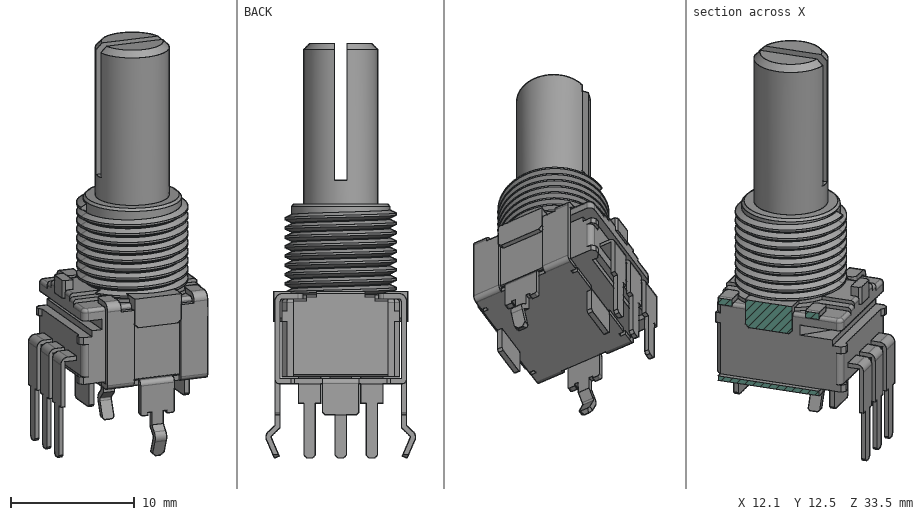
import cadquery as cq
import math


TOTAL_HEIGHT = 33.5
BUSHING_TOP = 20.55
SADDLE_TOP = 13.47
PAD_TOP = 13.3
RIDGE_TOP = SADDLE_TOP
SHELF_TOP = 13.15
CORNER_TOP = 12.85
COVER_BOTTOM = 11.9
BASE_TOP = 11.02
BASE_STEP = 10.52
BASE_BOTTOM = 6.55
FLOOR_TOP = 6.43
FRAME_BOTTOM = 6.0

SHAFT_DIA = 6.0
SHAFT_CHAMFER = 0.5
SLOT_WIDTH = 0.97
SLOT_DEPTH = 11.05
CORE_DIA = 7.97
CORE_CHAMFER = 0.2
THREAD_DIA = 9.0
THREAD_LENGTH = 6.77
THREAD_TURNS = 9
THREAD_PITCH = THREAD_LENGTH / THREAD_TURNS
THREAD_TOP = 19.9
THREAD_ROOT_WIDTH = 0.75
THREAD_CREST_WIDTH = 0.17
THREAD_OVERLAP = 0.07

BODY_HALF_WIDTH = 4.75
BODY_BACK = 4.65
BACK_PLATE_HALF_WIDTH = 3.82
BACK_PLATE_Y = 4.82
COVER_FRONT = -6.3
COVER_EDGE = 0.3
CORNER_RADIUS = 0.47
BACK_CHAMFER = 0.4
BACK_EDGE = 0.17
COLLAR_RADIUS = 4.8
BASE_STEP_FRONT = -5.5
BASE_FRONT = -6.3
LIP_BACK = -5.8
LIP_FRONT = -6.53
LIP_INNER_X = 3.75
LIP_HEIGHT = 0.6
LIP_CHAMFER = 0.3
RIDGE_HALF_WIDTH = 1.98
SHELF_HALF_WIDTH = 2.75
WINDOW_RADIUS = 5.2
WINDOW_HALF_ANGLE = 27
POST_OUTER_X = -2.8
POST_INNER_X = -2.48
POST_FRONT = -4.95
SLOPE_END_Y = -2.68
TAB_HALF_WIDTH = 0.97
TAB_BACK = -5.6
TAB_FRONT = -6.45
TAB_BOTTOM = 12.75
TAB_TOP = 14.27
TAB_CHAMFER = 0.2

FRAME_HALF_WIDTH = 5.33
FRAME_HALF_LENGTH = 4.4
SHEET = 0.45
BEND = 0.4
TOP_BEND = 0.67
RELIEF_INNER_X = 3.75
RELIEF_OUTER_X = 4.02
PANEL_HALF_WIDTH = 5.05
SADDLE_HALF_WIDTH = 5.43
SADDLE_HALF_LENGTH = 2.05
SADDLE_CHAMFER = 0.3
NOTCH_END_Y = 3.18
NOTCH_BOTTOM = 12.5
PAD_INNER_X = 3.05
PAD_CORNER = 0.4
LEG_HALF_WIDTH = 1.47
LEG_BOTTOM = 3.5
LEG_CORNER = 0.2
LEG_RELIEF_WIDTH = 0.35
LEG_RELIEF_HEIGHT = 0.25
SPRING_HALF_WIDTH = 0.5
SPRING_KNEE_Z = 2.55
SPRING_ELBOW_START = (5.65, 2.0)
SPRING_ELBOW = (5.83, 1.75)
SPRING_ELBOW_END = (5.75, 1.47)
SPRING_TIP = (5.15, 0.07)
SPRING_TIP_CHAMFER = 0.3

TERMINAL_SPACING = 2.5
TERMINAL_TOP = 8.6
TERMINAL_SHEET = 0.37
TERMINAL_BEND = 0.6
TERMINAL_FRONT = -7.67
TERMINAL_WIDTH = 1.8
MIDDLE_TERMINAL_WIDTH = 1.75
PIN_WIDTH = 0.95
SHOULDER_Z = 4.42
PIN_CHAMFER = 0.25


def block(x_min, x_max, y_min, y_max, z_min, z_max):
    """Axis-aligned box given by its limits."""
    size = (x_max - x_min, y_max - y_min, z_max - z_min)
    return cq.Workplane("XY").box(*size, centered=False).translate((x_min, y_min, z_min))


def wide_block(half_width, y_min, y_max, z_min, z_max):
    """Box centred on X = 0."""
    return block(-half_width, half_width, y_min, y_max, z_min, z_max)


def rod(radius, z_min, z_max):
    """Upright cylinder on the shaft axis."""
    return cq.Workplane("XY").workplane(offset=z_min).circle(radius).extrude(z_max - z_min)


def both_sides(solid):
    """The solid together with its mirror image across X = 0."""
    return solid.union(solid.mirror("YZ"))


def make_shaft():
    shaft = rod(SHAFT_DIA / 2, BASE_TOP, TOTAL_HEIGHT)
    shaft = shaft.faces(">Z").chamfer(SHAFT_CHAMFER)
    slot = wide_block(SLOT_WIDTH / 2, -SHAFT_DIA, SHAFT_DIA, TOTAL_HEIGHT - SLOT_DEPTH, TOTAL_HEIGHT)
    return shaft.cut(slot)


def make_bushing():
    """Plain core carrying a right-hand thread that ends at the front (-Y)."""
    core = rod(CORE_DIA / 2, COVER_BOTTOM, BUSHING_TOP)
    core = core.faces(">Z").chamfer(CORE_CHAMFER)
    root = CORE_DIA / 2 - THREAD_OVERLAP
    crest = THREAD_DIA / 2
    profile = [
        (root, -THREAD_ROOT_WIDTH / 2),
        (crest, -THREAD_CREST_WIDTH / 2),
        (crest, THREAD_CREST_WIDTH / 2),
        (root, THREAD_ROOT_WIDTH / 2),
    ]
    for turn in range(1, THREAD_TURNS + 1):
        helix = cq.Workplane(obj=cq.Wire.makeHelix(THREAD_PITCH, THREAD_PITCH, root))
        thread = cq.Workplane("XZ").polyline(profile).close().sweep(helix, isFrenet=True)
        thread = thread.rotate((0, 0, 0), (0, 0, 1), -90)
        core = core.union(thread.translate((0, 0, THREAD_TOP - turn * THREAD_PITCH)))
    return core


def make_cover():
    """Upper housing stepping down from a middle ridge to the corners, with a locating tab in front."""
    cover = wide_block(BODY_HALF_WIDTH, COVER_FRONT, BODY_BACK, COVER_BOTTOM, CORNER_TOP)
    cover = cover.edges("|Z and <Y").fillet(CORNER_RADIUS)
    cover = cover.edges("|Z and >Y").chamfer(BACK_CHAMFER)
    cover = cover.faces(">Z").edges().fillet(COVER_EDGE)
    for half_width, top in ((SHELF_HALF_WIDTH, SHELF_TOP), (RIDGE_HALF_WIDTH, RIDGE_TOP)):
        step = wide_block(half_width, COVER_FRONT, BACK_PLATE_Y, COVER_BOTTOM, top)
        step = step.edges("<Y and >Z").fillet(COVER_EDGE)
        step = step.edges(">Y and >Z").chamfer(BACK_EDGE)
        cover = cover.union(step)
    collar = rod(COLLAR_RADIUS, COVER_BOTTOM, SHELF_TOP)
    collar = collar.intersect(wide_block(BODY_HALF_WIDTH, -FRAME_HALF_LENGTH, FRAME_HALF_LENGTH,
                                         COVER_BOTTOM, SHELF_TOP))
    tab = wide_block(TAB_HALF_WIDTH, TAB_FRONT, TAB_BACK, TAB_BOTTOM, TAB_TOP)
    tab = tab.edges("|Z and <Y").chamfer(TAB_CHAMFER)
    return cover.union(collar).union(tab)


def make_window_core():
    """Inner wall in the gap between cover and base: a round front, a post and a sloping left flank."""
    half_angle = math.radians(WINDOW_HALF_ANGLE)
    arc_x = WINDOW_RADIUS * math.sin(half_angle)
    arc_y = -WINDOW_RADIUS * math.cos(half_angle)
    return (
        cq.Workplane("XY").workplane(offset=BASE_TOP)
        .moveTo(-arc_x, arc_y)
        .threePointArc((0, -WINDOW_RADIUS), (arc_x, arc_y))
        .lineTo(BODY_HALF_WIDTH, arc_y)
        .lineTo(BODY_HALF_WIDTH, BODY_BACK)
        .lineTo(-BODY_HALF_WIDTH, BODY_BACK)
        .lineTo(-BODY_HALF_WIDTH, SLOPE_END_Y)
        .lineTo(POST_OUTER_X, arc_y)
        .lineTo(POST_OUTER_X, POST_FRONT)
        .lineTo(POST_INNER_X, POST_FRONT)
        .lineTo(POST_INNER_X, arc_y)
        .close()
        .extrude(COVER_BOTTOM - BASE_TOP)
    )


def make_base():
    """Lower housing: stepped front top edge, rounded front corners with lips, and a back plate."""
    base = wide_block(BODY_HALF_WIDTH, BASE_FRONT, BODY_BACK, BASE_BOTTOM, BASE_TOP)
    base = base.edges("|Z and <Y").fillet(CORNER_RADIUS)
    base = base.edges("|Z and >Y").chamfer(BACK_CHAMFER)
    base = base.cut(wide_block(BODY_HALF_WIDTH, BASE_FRONT, BASE_STEP_FRONT, BASE_STEP, BASE_TOP))
    base = base.union(wide_block(BODY_HALF_WIDTH, BASE_STEP_FRONT, 0, BASE_STEP, BASE_TOP))
    base = base.cut(wide_block(LIP_INNER_X, BASE_FRONT, LIP_BACK, BASE_BOTTOM, BASE_BOTTOM + LIP_HEIGHT))
    for z_min in (BASE_BOTTOM, BASE_STEP - LIP_HEIGHT):
        lip = block(LIP_INNER_X, BODY_HALF_WIDTH, LIP_FRONT, LIP_BACK, z_min, z_min + LIP_HEIGHT)
        lip = lip.edges("|Z and <Y").chamfer(LIP_CHAMFER)
        base = base.union(both_sides(lip))
    back_plate = wide_block(BACK_PLATE_HALF_WIDTH, 0, BACK_PLATE_Y, BASE_BOTTOM, CORNER_TOP)
    back_plate = back_plate.edges(">Y and <Z").chamfer(TAB_CHAMFER)
    back_plate = back_plate.edges(">Y and >Z").chamfer(BACK_EDGE)
    return base.union(back_plate)


def make_frame():
    """Sheet metal frame wrapped round both sides and the underside of the housing."""
    inner_half_width = FRAME_HALF_WIDTH - SHEET
    frame = wide_block(FRAME_HALF_WIDTH, -FRAME_HALF_LENGTH, FRAME_HALF_LENGTH, FRAME_BOTTOM, PAD_TOP)
    frame = frame.edges("|Y and >Z").fillet(TOP_BEND)
    frame = frame.edges("|Y and <Z").fillet(BEND)
    interior = wide_block(inner_half_width, -FRAME_HALF_LENGTH, FRAME_HALF_LENGTH, FLOOR_TOP, PAD_TOP - SHEET)
    interior = interior.edges("|Y and >Z").fillet(TOP_BEND - SHEET)
    pad_gap_x = wide_block(PAD_INNER_X, -FRAME_HALF_LENGTH, FRAME_HALF_LENGTH, FLOOR_TOP, PAD_TOP)
    pad_gap_y = wide_block(FRAME_HALF_WIDTH, -NOTCH_END_Y, NOTCH_END_Y, NOTCH_BOTTOM, PAD_TOP)
    frame = frame.cut(interior).cut(pad_gap_x).cut(pad_gap_y)
    frame = frame.edges(cq.selectors.BoxSelector(
        (-PAD_INNER_X - PAD_CORNER, -BODY_BACK, PAD_TOP - SHEET),
        (PAD_INNER_X + PAD_CORNER, BODY_BACK, PAD_TOP))).edges("|Z").fillet(PAD_CORNER)

    panel_recess = block(PANEL_HALF_WIDTH, FRAME_HALF_WIDTH, -SADDLE_HALF_LENGTH, SADDLE_HALF_LENGTH,
                         FRAME_BOTTOM, PAD_TOP)
    panel_end = block(inner_half_width, FRAME_HALF_WIDTH, -SADDLE_HALF_LENGTH, SADDLE_HALF_LENGTH,
                      FRAME_BOTTOM, BASE_BOTTOM)
    frame = frame.cut(both_sides(panel_recess)).cut(both_sides(panel_end))

    relief = block(RELIEF_INNER_X, RELIEF_OUTER_X, -FRAME_HALF_LENGTH, SHEET - FRAME_HALF_LENGTH,
                   FRAME_BOTTOM, FLOOR_TOP)
    opening = wide_block(LEG_HALF_WIDTH, -FRAME_HALF_LENGTH, SHEET - FRAME_HALF_LENGTH,
                         FRAME_BOTTOM, FLOOR_TOP)
    edge_cuts = both_sides(relief).union(opening)
    return frame.cut(edge_cuts).cut(edge_cuts.mirror("XZ"))


def make_saddle():
    """Raised strap over the housing with a side flap on each side."""
    flap = block(BODY_HALF_WIDTH - SHEET, SADDLE_HALF_WIDTH, -SADDLE_HALF_LENGTH, SADDLE_HALF_LENGTH,
                 BASE_TOP, SADDLE_TOP)
    flap = flap.edges("|X and <Z").chamfer(SADDLE_CHAMFER)
    strap = wide_block(SADDLE_HALF_WIDTH, -SADDLE_HALF_LENGTH, SADDLE_HALF_LENGTH, COVER_BOTTOM, SADDLE_TOP)
    return both_sides(flap).union(strap)


def make_spring_leg():
    """Mounting leg on the +X side, narrowing to a snap-in hook."""
    outer = FRAME_HALF_WIDTH
    inner = outer - SHEET
    middle = outer - SHEET / 2
    plate = block(inner - BEND, outer, -LEG_HALF_WIDTH, LEG_HALF_WIDTH, LEG_BOTTOM, FLOOR_TOP)
    plate = plate.edges("|Y and >X and >Z").fillet(BEND)
    plate = plate.edges("|X and <Z").fillet(LEG_CORNER)
    plate = plate.cut(block(inner - BEND, inner, -LEG_HALF_WIDTH, LEG_HALF_WIDTH, LEG_BOTTOM, FRAME_BOTTOM))
    relief_half_width = SPRING_HALF_WIDTH + LEG_RELIEF_WIDTH
    plate = plate.cut(block(inner, outer, -relief_half_width, relief_half_width,
                            LEG_BOTTOM, LEG_BOTTOM + LEG_RELIEF_HEIGHT))

    hook_top = FRAME_BOTTOM - SHEET
    path = (
        cq.Workplane("XZ")
        .moveTo(middle, hook_top)
        .lineTo(middle, SPRING_KNEE_Z)
        .lineTo(*SPRING_ELBOW_START)
        .threePointArc(SPRING_ELBOW, SPRING_ELBOW_END)
        .lineTo(*SPRING_TIP)
    )
    hook = (
        cq.Workplane("XY", origin=(middle, 0, hook_top))
        .rect(SHEET, 2 * SPRING_HALF_WIDTH)
        .sweep(path, transition="right")
    )
    outline = block(0, TOTAL_HEIGHT, -SPRING_HALF_WIDTH, SPRING_HALF_WIDTH, 0, hook_top)
    outline = outline.edges("|X and <Z").chamfer(SPRING_TIP_CHAMFER)
    return plate.union(hook.intersect(outline))


def make_ground_tab():
    """Short tab bent down from the front edge of the frame's floor."""
    tab = wide_block(LEG_HALF_WIDTH, -FRAME_HALF_LENGTH, SHEET - FRAME_HALF_LENGTH, LEG_BOTTOM, FLOOR_TOP)
    tab = tab.edges("|X and <Y and >Z").fillet(BEND)
    return tab.edges("|Y and <Z").chamfer(LEG_CORNER)


def make_terminal(x, width):
    """Terminal leaving the housing front and bent down into a narrower pin."""
    arm_back = BASE_FRONT + TERMINAL_SHEET
    profile = (
        cq.Workplane("YZ")
        .moveTo(arm_back, TERMINAL_TOP)
        .lineTo(TERMINAL_FRONT, TERMINAL_TOP)
        .lineTo(TERMINAL_FRONT, 0)
        .lineTo(TERMINAL_FRONT + TERMINAL_SHEET, 0)
        .lineTo(TERMINAL_FRONT + TERMINAL_SHEET, TERMINAL_TOP - TERMINAL_SHEET)
        .lineTo(arm_back, TERMINAL_TOP - TERMINAL_SHEET)
        .close()
        .extrude(width / 2, both=True)
    )
    profile = profile.edges("|X and <Y and >Z").fillet(TERMINAL_BEND)
    pin = wide_block(PIN_WIDTH / 2, TERMINAL_FRONT, arm_back, 0, SHOULDER_Z)
    pin = pin.edges("|Y and <Z").chamfer(PIN_CHAMFER)
    head = wide_block(width / 2, TERMINAL_FRONT, arm_back, SHOULDER_Z, TERMINAL_TOP)
    return profile.intersect(head.union(pin)).translate((x, 0, 0))


ground_tab = make_ground_tab()
result = make_base().union(make_window_core()).union(make_cover())
result = result.union(make_frame()).union(make_saddle()).union(both_sides(make_spring_leg()))
result = result.union(ground_tab).union(ground_tab.mirror("XZ"))
for x in (-TERMINAL_SPACING, 0, TERMINAL_SPACING):
    result = result.union(make_terminal(x, TERMINAL_WIDTH if x else MIDDLE_TERMINAL_WIDTH))
result = result.union(make_bushing().union(make_shaft()))